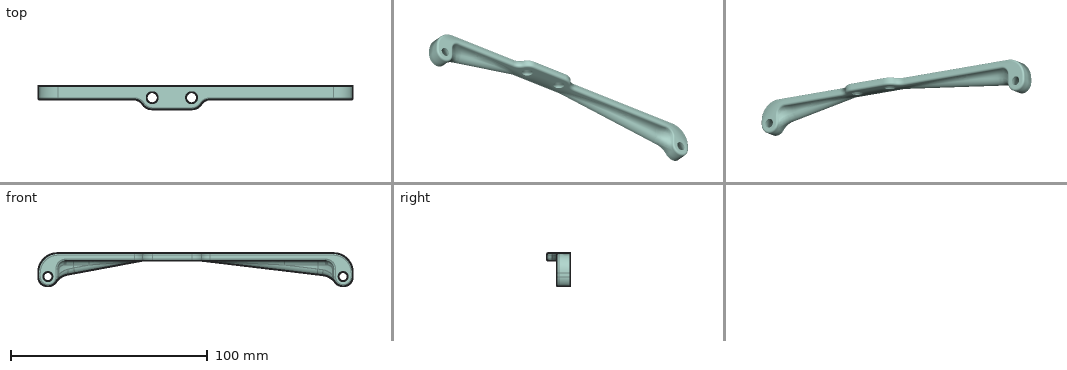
import cadquery as cq
import math

length = 160.0
height = 17.0
bar_depth = 7.0
bar_thickness = 4.0
edge_radius = 1.0

foot_radius = 5.0
foot_hole_diameter = 4.5
foot_flat = 2.0
inner_corner_radius = 4.0

tab_depth = 12.0
tab_center_x = -12.0
tab_hole_spacing = 20.0
tab_hole_diameter = 5.5
tab_corner_radius = 6.0
tab_blend_radius = 5.0

web_depth = 3.1
web_reach = 15.0
web_foot_z = 5.0
web_foot_blend_radius = 9.0
web_flare_length = 8.0
web_edge_radius = 3.0
web_bar_blend_radius = 2.0

end_x = length / 2
foot_x = end_x - foot_radius
inner_x = end_x - 2 * foot_radius
underside_z = height - bar_thickness
outer_corner_radius = height - foot_radius - foot_flat
tab_hole_y = tab_corner_radius - tab_depth
tab_hole_xs = [tab_center_x - tab_hole_spacing / 2, tab_center_x + tab_hole_spacing / 2]
diagonal = math.sqrt(0.5)
tolerance = 0.01


def make_bar():
    """Bar with a downturned foot at each end, as one outline extruded towards -Y."""
    outer_z = height - outer_corner_radius
    outer_x = end_x - outer_corner_radius
    corner_x = inner_x - inner_corner_radius
    corner_z = underside_z - inner_corner_radius
    outer_mid = outer_corner_radius * diagonal
    corner_mid = inner_corner_radius * diagonal
    outline = (
        cq.Workplane("XZ")
        .moveTo(-outer_x, height)
        .lineTo(outer_x, height)
        .threePointArc((outer_x + outer_mid, outer_z + outer_mid), (end_x, outer_z))
        .lineTo(end_x, foot_radius)
        .threePointArc((foot_x, 0), (inner_x, foot_radius))
        .lineTo(inner_x, corner_z)
        .threePointArc((corner_x + corner_mid, corner_z + corner_mid), (corner_x, underside_z))
        .lineTo(-corner_x, underside_z)
        .threePointArc((-corner_x - corner_mid, corner_z + corner_mid), (-inner_x, corner_z))
        .lineTo(-inner_x, foot_radius)
        .threePointArc((-foot_x, 0), (-end_x, foot_radius))
        .lineTo(-end_x, outer_z)
        .threePointArc((-outer_x - outer_mid, outer_z + outer_mid), (-outer_x, height))
        .close()
    )
    return outline.extrude(bar_depth)


def make_tab():
    """Tab whose corners are centred on its holes and sweep back into the bar front."""
    blend_y = -bar_depth - tab_blend_radius
    center_gap = tab_corner_radius + tab_blend_radius
    drop = tab_hole_y - blend_y
    run = math.sqrt(center_gap**2 - drop**2)
    turn = math.acos(drop / center_gap)
    half_spacing = tab_hole_spacing / 2

    def corner(angle):
        return (
            half_spacing + tab_corner_radius * math.sin(angle),
            tab_hole_y - tab_corner_radius * math.cos(angle),
        )

    def blend(angle):
        return (
            half_spacing + run - tab_blend_radius * math.sin(angle),
            blend_y + tab_blend_radius * math.cos(angle),
        )

    def mirrored(point):
        return (-point[0], point[1])

    outline = (
        cq.Workplane("XY", origin=(tab_center_x, 0, underside_z))
        .moveTo(*mirrored(corner(0)))
        .lineTo(*corner(0))
        .threePointArc(corner(turn / 2), corner(turn))
        .threePointArc(blend(turn / 2), blend(0))
        .lineTo(blend(0)[0], 0)
        .lineTo(-blend(0)[0], 0)
        .lineTo(*mirrored(blend(0)))
        .threePointArc(mirrored(blend(turn / 2)), mirrored(corner(turn)))
        .threePointArc(mirrored(corner(turn / 2)), mirrored(corner(0)))
        .close()
    )
    return outline.extrude(bar_thickness)


def round_front_edges(frame):
    """Round the two continuous edges that follow the front of the bar, feet and tab."""

    def on_front(edge):
        center = edge.Center()
        box = edge.BoundingBox()
        tab_upright = box.zlen > tolerance and abs(center.x) < inner_x - inner_corner_radius
        return box.ymax < tolerance - bar_depth and not tab_upright

    edges = [edge for edge in frame.edges().vals() if on_front(edge)]
    return frame.newObject(edges).fillet(edge_radius)


def make_web(side):
    """Tapered web behind the bar front, from the tab (side = -1 or 1) down to one foot."""
    start_x = side * tab_center_x + web_reach
    slope = math.atan2(underside_z - web_foot_z, inner_x - start_x)

    foot_dx = foot_x - start_x
    foot_dz = foot_radius - underside_z
    foot_u = foot_dx * math.cos(slope) - foot_dz * math.sin(slope)
    foot_v = foot_dx * math.sin(slope) + foot_dz * math.cos(slope)
    gap = foot_radius + web_foot_blend_radius
    blend_v = -web_foot_blend_radius
    blend_u = foot_u - math.sqrt(gap**2 - (foot_v - blend_v) ** 2)

    def at(u, v):
        return (
            side * (start_x + u * math.cos(slope) + v * math.sin(slope)),
            underside_z - u * math.sin(slope) + v * math.cos(slope),
        )

    def on_blend(angle):
        return at(
            blend_u + web_foot_blend_radius * math.sin(angle),
            blend_v + web_foot_blend_radius * math.cos(angle),
        )

    turn = math.atan2(foot_u - blend_u, foot_v - blend_v)
    bar_middle_z = height - bar_thickness / 2
    profile = (
        cq.Workplane("XZ")
        .moveTo(side * start_x, bar_middle_z)
        .lineTo(*at(0, 0))
        .lineTo(*on_blend(0))
        .threePointArc(on_blend(turn / 2), on_blend(turn))
        .lineTo(side * foot_x, foot_radius)
        .lineTo(side * foot_x, bar_middle_z)
        .close()
        .extrude(bar_depth)
    )
    web = profile.intersect(make_web_plan(side, start_x))
    return round_web_edge(web)


def round_web_edge(web):
    """Round the lower front edge of a web, along its slope and its flare."""

    def on_lower_front(edge):
        box = edge.BoundingBox()
        is_front = box.ymax < tolerance - web_depth
        is_under_bar = abs(edge.positionAt(0.5).x) < inner_x
        is_upright = box.xlen < tolerance
        is_low = box.zmin < underside_z - tolerance
        return is_front and is_under_bar and is_low and not is_upright

    edges = [edge for edge in web.edges().vals() if on_lower_front(edge)]
    return web.newObject(edges).fillet(web_edge_radius)


def make_web_plan(side, start_x):
    """Web seen from above: constant depth, then an arc that flares out to the foot front."""
    flare_depth = bar_depth - edge_radius - web_depth
    flare_radius = (web_flare_length**2 + flare_depth**2) / (2 * flare_depth)
    flare_angle = math.asin(web_flare_length / flare_radius)
    flare_x = inner_x - web_flare_length
    mid = (
        side * (flare_x + flare_radius * math.sin(flare_angle / 2)),
        -web_depth - flare_radius * (1 - math.cos(flare_angle / 2)),
    )
    tip_y = edge_radius - bar_depth
    return (
        cq.Workplane("XY")
        .moveTo(side * start_x, 0)
        .lineTo(side * start_x, -web_depth)
        .lineTo(side * flare_x, -web_depth)
        .threePointArc(mid, (side * inner_x, tip_y))
        .lineTo(side * foot_x, tip_y)
        .lineTo(side * foot_x, 0)
        .close()
        .extrude(height)
    )


def blend_webs_into_bar(body):
    """Fill the inside corner between the bar underside and the front of each web."""
    front_of_corner = edge_radius - bar_depth + tolerance

    def on_corner(edge):
        box = edge.BoundingBox()
        return (
            abs(box.zmin - underside_z) < tolerance
            and box.zlen < tolerance
            and front_of_corner < box.ymin < -web_depth + tolerance
            and box.xlen > tolerance
        )

    edges = [edge for edge in body.edges().vals() if on_corner(edge)]
    return body.newObject(edges).fillet(web_bar_blend_radius)


def make_tab_holes():
    return (
        cq.Workplane("XY")
        .pushPoints([(x, tab_hole_y) for x in tab_hole_xs])
        .circle(tab_hole_diameter / 2)
        .extrude(height)
    )


def make_foot_holes():
    return (
        cq.Workplane("XZ")
        .pushPoints([(-foot_x, foot_radius), (foot_x, foot_radius)])
        .circle(foot_hole_diameter / 2)
        .extrude(bar_depth)
    )


frame = round_front_edges(make_bar().union(make_tab()))
body = frame.union(make_web(-1)).union(make_web(1))
body = blend_webs_into_bar(body)
result = body.cut(make_tab_holes()).cut(make_foot_holes())